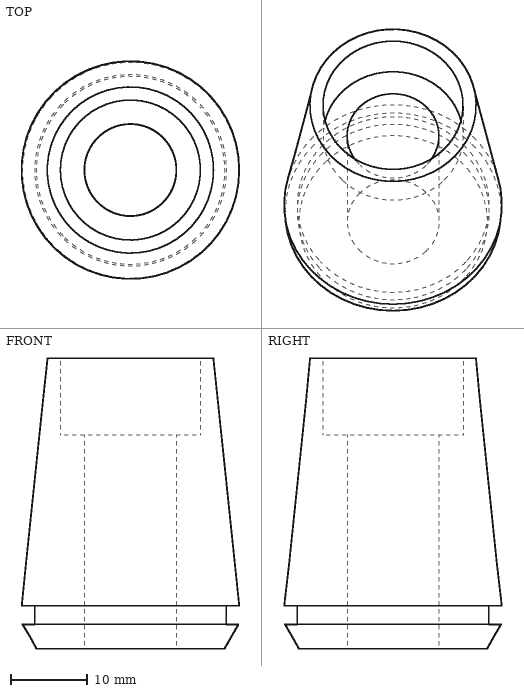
import cadquery as cq

total_height = 38.0
lip_height = 3.2
groove_top = 5.62

lip_bottom_radius = 12.3
lip_top_radius = 14.15
groove_radius = 12.55
body_bottom_radius = 14.25
body_top_radius = 10.85

through_radius = 6.0
counterbore_radius = 9.15
counterbore_depth = 10.0


def make_sleeve():
    """Tapered sleeve above a groove and a flared lip, revolved about Z."""
    return (
        cq.Workplane("XZ")
        .lineTo(lip_bottom_radius, 0)
        .lineTo(lip_top_radius, lip_height)
        .lineTo(groove_radius, lip_height)
        .lineTo(groove_radius, groove_top)
        .lineTo(body_bottom_radius, groove_top)
        .lineTo(body_top_radius, total_height)
        .lineTo(0, total_height)
        .close()
        .revolve(360, (0, 0, 0), (0, 1, 0))
    )


def cut_stepped_bore(sleeve):
    """Through hole with a wide counterbore from the top face."""
    return (
        sleeve.faces(">Z")
        .workplane()
        .cboreHole(2 * through_radius, 2 * counterbore_radius, counterbore_depth)
    )


result = cut_stepped_bore(make_sleeve())